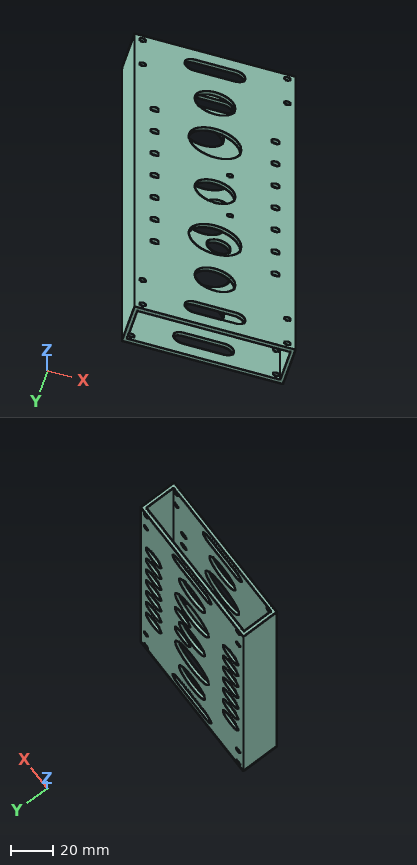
import cadquery as cq

width = 80.0
depth = 20.0
height = 248.0
wall = 2.0

slot_length = 30.0
slot_height = 10.0
slot_z = 109.9

port_diameter = 20.0
outer_port_z = 80.0
large_port_diameter = 26.0
large_port_z = 44.0

corner_hole_diameter = 3.0
corner_hole_x = 36.0
corner_hole_z_levels = (98.0, 120.0)

column_hole_diameter = 4.0
column_x = 30.0
column_top_z = 60.0
holes_per_column = 7
column_pitch = 2 * column_top_z / (holes_per_column - 1)

pilot_hole_diameter = 2.7
pilot_hole_x = 7.5
pilot_hole_z = 18.0

access_hole_diameter = 12.0


def make_tube():
    outer = cq.Workplane("XY").box(width, depth, height)
    inner = cq.Workplane("XY").box(width - 2 * wall, depth - 2 * wall, height)
    return outer.cut(inner)


def slot_cutters():
    """Round-ended slots that pass through both broad walls."""
    points = [(0, slot_z), (0, -slot_z)]
    return cq.Workplane("XZ").pushPoints(points).slot2D(slot_length, slot_height).extrude(depth, both=True)


def through_cutters(diameter, points):
    """Cylinders along Y that pass through both broad walls."""
    return cq.Workplane("XZ").pushPoints(points).circle(diameter / 2).extrude(depth, both=True)


def back_cutters(diameter, points):
    """Cylinders from the mid-plane towards +Y that pass through the back wall only."""
    return cq.Workplane("XZ").pushPoints(points).circle(diameter / 2).extrude(-depth)


port_points = [(0, z) for z in (-outer_port_z, 0, outer_port_z)]
large_port_points = [(0, -large_port_z), (0, large_port_z)]
corner_points = [
    (x, side * z)
    for x in (-corner_hole_x, corner_hole_x)
    for z in corner_hole_z_levels
    for side in (-1, 1)
]
column_points = [
    (x, column_top_z - row * column_pitch)
    for x in (-column_x, column_x)
    for row in range(holes_per_column)
]
pilot_points = [(pilot_hole_x, -pilot_hole_z), (pilot_hole_x, pilot_hole_z)]

result = make_tube().cut(slot_cutters())

for diameter, points in (
    (port_diameter, port_points),
    (large_port_diameter, large_port_points),
    (corner_hole_diameter, corner_points),
    (column_hole_diameter, column_points),
    (pilot_hole_diameter, pilot_points),
):
    result = result.cut(through_cutters(diameter, points))

result = result.cut(back_cutters(access_hole_diameter, column_points + pilot_points))